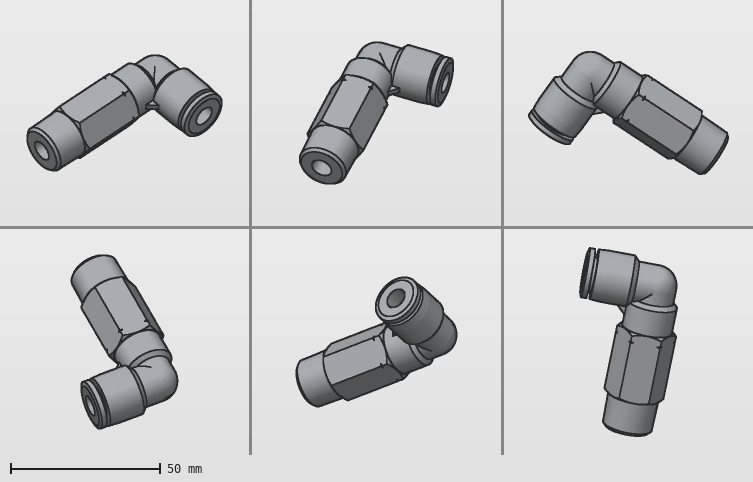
import cadquery as cq
import math


overall_length = 59.75
hex_across_flats = 17.5
hex_flat_radius = hex_across_flats / 2
hex_corner_radius = hex_flat_radius / math.cos(math.pi / 6)
socket_radius = hex_flat_radius

elbow_radius = 7.0
bore_radius = 3.5

thread_end = overall_length - socket_radius
thread_chamfer_start = 49.95
thread_large_radius = 8.6
thread_small_radius = 8.35
thread_tip_radius = 7.4
collar_radius = 8.5
collar_cone_start = 4.95
collar_cone_end = collar_cone_start + collar_radius - elbow_radius

hex_start = 15.35
hex_end = 39.4
hex_chamfer_length = 0.9
hex_groove_position = 18.45
hex_groove_root_radius = 9.7
hex_groove_half_width = 0.3

socket_cone_start = 7.0
socket_cone_end = socket_cone_start + socket_radius - elbow_radius
socket_taper_start = 17.6
cap_start = 19.85
cap_start_radius = 8.6
cap_end = 21.05
cap_end_radius = 8.5
neck_radius = 5.6
ring_start = 22.3
ring_bevel_start = 24.1
ring_end = 24.55
ring_radius = 8.4
ring_tip_radius = 7.0

gusset_thickness = 2.05
gusset_reach = 11.4


def turned_on_x(profile):
    """Revolve (distance, radius) points about the X axis."""
    return cq.Workplane("XY").polyline(profile).close().revolve(360, (0, 0, 0), (1, 0, 0))


def turned_on_stem(profile):
    """Revolve (distance, radius) points about the stem, distance running towards -Y."""
    return turned_on_x(profile).rotate((0, 0, 0), (0, 0, 1), -90)


def make_stem():
    return turned_on_stem([
        (0, 0),
        (0, elbow_radius),
        (collar_cone_start, elbow_radius),
        (collar_cone_end, collar_radius),
        (hex_end, collar_radius),
        (hex_end, thread_large_radius),
        (thread_chamfer_start, thread_small_radius),
        (thread_end, thread_tip_radius),
        (thread_end, 0),
    ])


def make_hexagon():
    prism = (
        cq.Workplane("XZ", origin=(0, -hex_start, 0))
        .polygon(6, 2 * hex_corner_radius)
        .extrude(hex_end - hex_start)
    )
    envelope = turned_on_stem([
        (hex_start, 0),
        (hex_start, hex_flat_radius),
        (hex_start + hex_chamfer_length, hex_corner_radius),
        (hex_groove_position - hex_groove_half_width, hex_corner_radius),
        (hex_groove_position, hex_groove_root_radius),
        (hex_groove_position + hex_groove_half_width, hex_corner_radius),
        (hex_end - hex_chamfer_length, hex_corner_radius),
        (hex_end, hex_flat_radius),
        (hex_end, 0),
    ])
    return prism.intersect(envelope)


def make_socket():
    return turned_on_x([
        (0, 0),
        (0, elbow_radius),
        (socket_cone_start, elbow_radius),
        (socket_cone_end, socket_radius),
        (socket_taper_start, socket_radius),
        (cap_start, cap_start_radius),
        (cap_end, cap_end_radius),
        (cap_end, neck_radius),
        (ring_start, neck_radius),
        (ring_start, ring_radius),
        (ring_bevel_start, ring_radius),
        (ring_end, ring_tip_radius),
        (ring_end, 0),
    ])


def make_gusset():
    """45 degree web whose hidden corner lies inside the collar and the socket."""
    inner = elbow_radius
    leg_tip = gusset_reach + socket_radius - inner
    return (
        cq.Workplane("XY")
        .polyline([(inner, -inner), (leg_tip, -inner), (inner, -leg_tip)])
        .close()
        .extrude(gusset_thickness / 2, both=True)
    )


def make_bore():
    """Round passage through both arms, with a spherical outer corner."""
    stem_bore = cq.Workplane("XZ").circle(bore_radius).extrude(thread_end)
    socket_bore = cq.Workplane("YZ").circle(bore_radius).extrude(ring_end)
    return cq.Workplane("XY").sphere(bore_radius).union(stem_bore).union(socket_bore)


result = (
    cq.Workplane("XY")
    .sphere(elbow_radius)
    .union(make_stem())
    .union(make_socket())
    .union(make_hexagon())
    .union(make_gusset())
    .cut(make_bore())
)